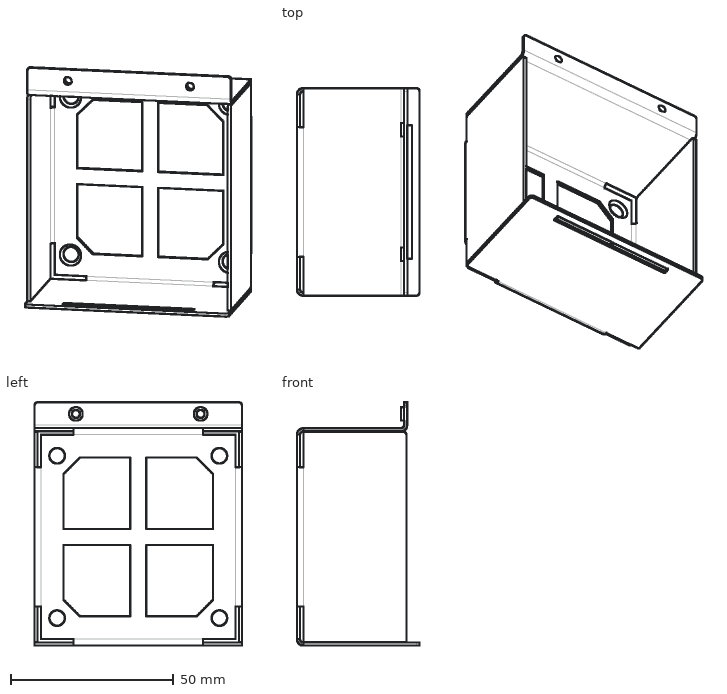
import cadquery as cq

sheet = 1.0
inner_bend = 1.0
outer_bend = inner_bend + sheet
box_width = 64.0
box_height = 67.0
total_height = 75.0
wall_depth = 33.8
lip_back = 34.0
floor_depth = 37.8
mid_height = box_height / 2

roof_bend_length = 40.0
wall_bend_length = 43.0
screw_spacing = 50.0
screw_diameter = 4.7
screw_flare = 45.0
window_span_y = 46.0
window_span_z = 48.8
cross_bar = 5.0
window_chamfer = 5.0

wall_gap = 0.1
wall_corner_radius = 1.0

slot_length = 41.0
slot_width = 2.0
slot_outer_edge = 35.4

corner_radius = 1.0
boss_spacing = 38.4
boss_drop = 3.6
boss_diameter = 4.2
boss_hole = 2.4
boss_height = 1.0


def block(size_x, size_y, size_z, x_start, z_start):
    """Box centred on Y = 0 that starts at the given X and Z."""
    box = cq.Workplane("XY").box(size_x, size_y, size_z, centered=(False, True, False))
    return box.translate((x_start, 0, z_start))


def bend(length):
    """Quarter ring along Y, curved around the origin in the -X, +Z quadrant."""
    ring = cq.Workplane("XZ").circle(outer_bend).circle(inner_bend).extrude(length / 2, both=True)
    return ring.intersect(block(outer_bend, length, outer_bend, -outer_bend, 0))


def make_panel():
    width = box_width - 2 * outer_bend
    height = box_height - 2 * outer_bend
    panel = block(sheet, width, height, 0, outer_bend)
    face = cq.Workplane("YZ", origin=(0, 0, mid_height))
    screws = face.rect(screw_spacing, screw_spacing, forConstruction=True).vertices()
    panel = panel.cut(screws.circle(screw_diameter / 2).extrude(sheet, taper=-screw_flare))
    opening = face.rect(window_span_y, window_span_z).extrude(sheet).edges("|X").chamfer(window_chamfer)
    upright = face.rect(cross_bar, window_span_z).extrude(sheet)
    crosspiece = face.rect(window_span_y, cross_bar).extrude(sheet)
    return panel.cut(opening.cut(upright).cut(crosspiece))


def make_roof():
    """Roof plate with the bend up into the mounting lip."""
    lip_bend_x = lip_back - outer_bend
    lip_bend_z = box_height + inner_bend
    roof = block(lip_bend_x - outer_bend, box_width, sheet, outer_bend, box_height - sheet)
    panel_bend = bend(roof_bend_length).translate((outer_bend, 0, box_height - outer_bend))
    lip_bend = bend(box_width).rotate((0, 0, 0), (0, 1, 0), 180).translate((lip_bend_x, 0, lip_bend_z))
    return roof.union(panel_bend).union(lip_bend).union(make_lip(lip_bend_z))


def make_lip(z_start):
    lip = block(sheet, box_width, total_height - z_start, lip_back - sheet, z_start)
    lip = lip.edges("|X and >Z").fillet(corner_radius)
    boss_face = cq.Workplane("YZ", origin=(lip_back - sheet - boss_height, 0, total_height - boss_drop))
    spots = [(-boss_spacing / 2, 0), (boss_spacing / 2, 0)]
    bosses = boss_face.pushPoints(spots).circle(boss_diameter / 2).extrude(boss_height)
    holes = boss_face.pushPoints(spots).circle(boss_hole / 2).extrude(boss_height + sheet)
    return lip.union(bosses).cut(holes)


def make_floor():
    floor = block(floor_depth - outer_bend, box_width, sheet, outer_bend, 0)
    floor = floor.edges("|Z and >X").fillet(corner_radius)
    floor = floor.cut(block(slot_width, slot_length, sheet, slot_outer_edge - slot_width, 0))
    panel_bend = bend(roof_bend_length).rotate((0, 0, 0), (1, 0, 0), 180)
    return floor.union(panel_bend.translate((outer_bend, 0, outer_bend)))


def make_side_wall():
    """Side wall on the -Y side with its bend to the panel."""
    wall_height = box_height - 2 * (sheet + wall_gap)
    wall = block(wall_depth - outer_bend, sheet, wall_height, outer_bend, sheet + wall_gap)
    wall = wall.edges("|Y and >X and >Z").fillet(wall_corner_radius)
    wall = wall.translate((0, (sheet - box_width) / 2, 0))
    panel_bend = bend(wall_bend_length).rotate((0, 0, 0), (1, 0, 0), 90)
    return wall.union(panel_bend.translate((outer_bend, outer_bend - box_width / 2, mid_height)))


side_wall = make_side_wall()
result = make_panel().union(make_roof()).union(make_floor())
result = result.union(side_wall).union(side_wall.mirror("XZ"))